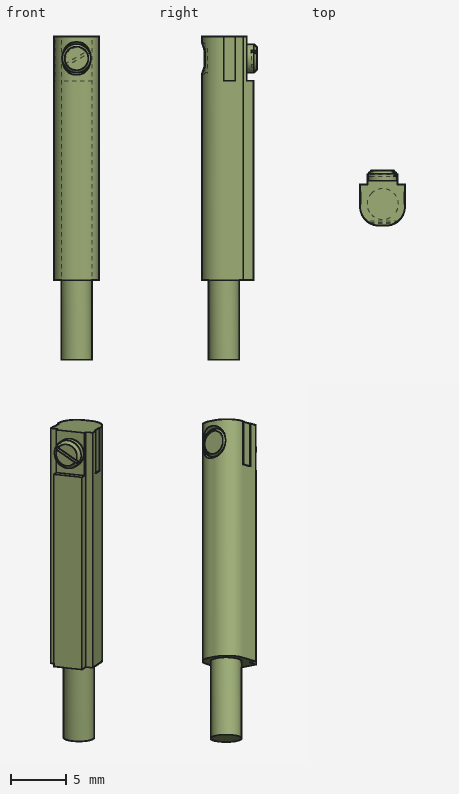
import cadquery as cq

total_height = 29.2
shaft_height = 7.18
body_height = total_height - shaft_height

body_width = 4.1
body_depth = 3.75
front_radius = 1.75

ridge_width = 2.72
ridge_back = 4.67
ridge_cut_back = 4.05
head_length = 4.0
head_bottom = total_height - head_length

recess_depth = 0.1
recess_width = 1.02
recess_front = 2.0

shaft_diameter = 2.8
shaft_center_y = 2.0
shaft_overlap = 0.3

screw_diameter = 2.6
screw_radius = screw_diameter / 2
screw_front = 0.23
screw_back = 5.0
front_chamfer = 0.23
back_chamfer = 0.3
screw_z = total_height - 2.0
slot_width = 0.23
slot_depth = 0.53
slot_angle = 30.0

countersink_radius = 1.5
countersink_depth = 0.32


def make_body():
    return (
        cq.Workplane("XY", origin=(0, 0, shaft_height))
        .rect(body_width, body_depth)
        .extrude(body_height)
        .translate((0, body_depth / 2, 0))
        .edges("|Z and <Y")
        .fillet(front_radius)
    )


def make_ridge():
    """Rib from mid-body to the ridge back, stepped down beside the screw head."""
    ridge_start = body_depth / 2
    ridge = (
        cq.Workplane("XY")
        .box(ridge_width, ridge_back - ridge_start, body_height, centered=(True, False, False))
        .translate((0, ridge_start, shaft_height))
    )
    clearance = (
        cq.Workplane("XY")
        .box(ridge_width, ridge_back - ridge_cut_back, head_length, centered=(True, False, False))
        .translate((0, ridge_cut_back, head_bottom))
    )
    return ridge.cut(clearance)


def make_side_recess(side):
    return (
        cq.Workplane("XY")
        .box(2 * recess_depth, recess_width, head_length, centered=(True, False, False))
        .translate((side * body_width / 2, recess_front, head_bottom))
    )


def make_shaft():
    """Round shaft, reaching up into the body to join it."""
    return (
        cq.Workplane("XY")
        .center(0, shaft_center_y)
        .circle(shaft_diameter / 2)
        .extrude(shaft_height + shaft_overlap)
    )


def make_front_opening():
    """Cone that narrows from the front face to the screw diameter."""
    cone = cq.Solid.makeCone(
        countersink_radius, screw_radius, countersink_depth,
        pnt=cq.Vector(0, 0, screw_z), dir=cq.Vector(0, 1, 0),
    )
    bore = cq.Solid.makeCylinder(
        screw_radius, front_chamfer,
        pnt=cq.Vector(0, countersink_depth, screw_z), dir=cq.Vector(0, 1, 0),
    )
    return cq.Workplane(cone).union(cq.Workplane(bore))


def make_screw():
    """Screw with both ends chamfered and a tilted driver slot in the back end."""
    screw = (
        cq.Workplane("XZ", origin=(0, screw_front, screw_z))
        .circle(screw_radius)
        .extrude(screw_front - screw_back)
        .faces("<Y")
        .chamfer(front_chamfer)
        .faces(">Y")
        .chamfer(back_chamfer)
    )
    slot = (
        cq.Workplane("XY")
        .box(screw_diameter, 2 * slot_depth, slot_width)
        .rotate((0, 0, 0), (0, 1, 0), -slot_angle)
        .translate((0, screw_back, screw_z))
    )
    return screw.cut(slot)


result = make_body().union(make_ridge())
for side in (-1, 1):
    result = result.cut(make_side_recess(side))
result = result.cut(make_front_opening())
result = result.union(make_shaft()).union(make_screw())